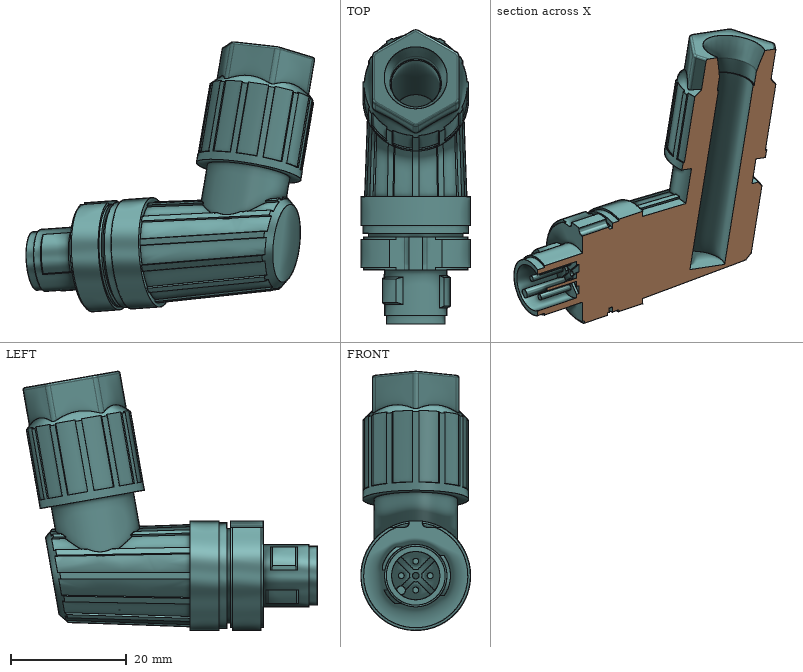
import cadquery as cq
import math


SLEEVE_R = 5.4
NOSE_R = 5.1
NOSE_LENGTH = 1.5
CUP_R = 4.15
CUP_DEPTH = 8.15

PIN_R = 0.5
PIN_COUNT = 4
PIN_CIRCLE_R = 2.5
PIN_RECESS = 1.95
KEY_R = 0.75
KEY_OFFSET = 2.55
KEY_RECESS = 0.5
CHANNEL_WIDTH = 1.0
CHANNEL_DEPTH = 0.5
HUB_R = 1.05
SOCKET_R = 0.55
SOCKET_DEPTH = 1.55

LUG_R = 6.0
LUG_BEVEL = 0.35
LUG_PLACES = [
    (-5.75, 0.95, 4.95, 3.4, 8.15),
    (-LUG_R, -4.85, -2.5, 3.25, 8.9),
    (LUG_R, -3.45, 3.45, 2.75, 8.4),
]

COLLAR_DIAMETER = 19.0
COLLAR_R = COLLAR_DIAMETER / 2
NUT_START = 9.35
NUT_END = 15.05
NUT_STEP_R = 9.0
NUT_STEP_LENGTH = 0.4
NUT_FLAT_Z = 8.35
NUT_FLAT_HALF_WIDTH = 4.6
POINTER_TOP_HALF = 1.15
POINTER_FOOT_HALF = 2.05
POINTER_SAG = 0.25
GROOVE_R = 8.2
GROOVE_END = 15.65
RING_R = 9.15
RING_END = 17.0
COLLAR_END = 22.05

BODY_START_R = 8.85
BODY_TAPER = 2.0
BODY_BACK_Y = 45.85
BODY_BACK_CHAMFER = 1.35
BODY_PANEL_DEPTH = 0.35

RIB_COUNT = 12
RIB_WIDTH = 1.1

ARM_TILT = 10.0
ARM_BASE_Y = 36.6
NECK_R = 7.2
CAP_R = 9.15
CAP_START = 13.4
CAP_SHOULDER = 13.8
CAP_RING_LENGTH = 1.5
CAP_PANEL_DEPTH = 0.25
CAP_HEIGHT = 21.05
HEX_FLATS = 15.0
HEX_CORNER_R = 1.0
HEX_TOP_FILLET = 0.4
MOUTH_R = 5.45
MOUTH_END_R = 4.45
MOUTH_DEPTH = 3.85
SEAT_DEPTH = 6.5
BORE_R = 4.2
BORE_DEPTH = 40.7

OVERLAP = 0.5


def rod(radius, start, end, x=0.0, z=0.0):
    """Cylinder parallel to Y from start to end."""
    return cq.Workplane("XZ", origin=(x, start, z)).circle(radius).extrude(start - end)


def place_on_arm(shape):
    """Move a shape built along Z onto the leaning arm axis."""
    return shape.rotate((0, 0, 0), (1, 0, 0), -ARM_TILT).translate((0, ARM_BASE_Y, 0))


def rib_blades(axis, plane, start, length):
    """Flat blades through an axis; their outer ends become the grip ribs."""
    blade = cq.Workplane(plane, origin=start).rect(2 * COLLAR_R, RIB_WIDTH).extrude(length)
    blades = blade
    for i in range(1, RIB_COUNT // 2):
        blades = blades.union(blade.rotate((0, 0, 0), axis, i * 360 / RIB_COUNT))
    return blades


def make_body():
    """Tapered body with a chamfered back face parallel to the arm axis."""
    length = BODY_BACK_Y + COLLAR_R - COLLAR_END
    start = (0, COLLAR_END, 0)
    body = cq.Workplane("XZ", origin=start).circle(BODY_START_R)
    body = body.extrude(-length, taper=BODY_TAPER)
    cutter_size = 4 * COLLAR_R
    beyond_back = (
        cq.Workplane("XY")
        .box(cutter_size, cutter_size, cutter_size, centered=(True, False, True))
        .rotate((0, 0, 0), (1, 0, 0), -ARM_TILT)
        .translate((0, BODY_BACK_Y, 0))
    )
    body = body.cut(beyond_back).faces(">Y").chamfer(BODY_BACK_CHAMFER)

    core = cq.Workplane("XZ", origin=start).circle(BODY_START_R - BODY_PANEL_DEPTH)
    core = core.extrude(-length, taper=BODY_TAPER)
    ribs = rib_blades((0, 1, 0), "XZ", start, -length)
    return body.intersect(core.union(ribs))


def make_nut():
    """Locking nut with stepped ends, a top flat and a raised pointer on it."""
    nut = rod(NUT_STEP_R, NUT_START, NUT_END)
    nut = nut.union(rod(COLLAR_R, NUT_START + NUT_STEP_LENGTH, NUT_END - NUT_STEP_LENGTH))
    nut_length = NUT_END - NUT_START
    above_flat = (
        cq.Workplane("XY")
        .box(2 * NUT_FLAT_HALF_WIDTH, nut_length, COLLAR_R, centered=(True, False, False))
        .translate((0, NUT_START, NUT_FLAT_Z))
    )
    pointer_z = math.sqrt(COLLAR_R**2 - POINTER_TOP_HALF**2)
    side_x = (POINTER_TOP_HALF + POINTER_FOOT_HALF) / 2 - POINTER_SAG
    side_z = (pointer_z + NUT_FLAT_Z) / 2 - POINTER_SAG
    base_z = NUT_FLAT_Z - OVERLAP
    pointer = (
        cq.Workplane("XZ", origin=(0, NUT_START, 0))
        .moveTo(-POINTER_FOOT_HALF, base_z)
        .lineTo(-POINTER_FOOT_HALF, NUT_FLAT_Z)
        .threePointArc((-side_x, side_z), (-POINTER_TOP_HALF, pointer_z))
        .threePointArc((0, COLLAR_R), (POINTER_TOP_HALF, pointer_z))
        .threePointArc((side_x, side_z), (POINTER_FOOT_HALF, NUT_FLAT_Z))
        .lineTo(POINTER_FOOT_HALF, base_z)
        .close()
        .extrude(-nut_length)
    )
    return nut.cut(above_flat).union(pointer)


def make_lug(reach, bottom, top, start, end):
    """Bayonet lug: a band of a bevelled disc, cut off at a reach along X and level in Z."""
    disc = (
        cq.Workplane("XY")
        .polyline(
            [
                (0, start),
                (SLEEVE_R, start),
                (LUG_R, start + LUG_BEVEL),
                (LUG_R, end - LUG_BEVEL),
                (SLEEVE_R, end),
                (0, end),
            ]
        )
        .close()
        .revolve(360, (0, 0, 0), (0, 1, 0))
    )
    band = (
        cq.Workplane("XY")
        .box(abs(reach), end - start, top - bottom, centered=(True, False, False))
        .translate((reach / 2, start, bottom))
    )
    return disc.intersect(band)


def make_insulator_cuts():
    """Diagonal channels, central relief and socket hole in the cup floor."""
    floor_end = CUP_DEPTH + CHANNEL_DEPTH
    cuts = rod(HUB_R, CUP_DEPTH, floor_end)
    for angle in (45, -45):
        channel = cq.Workplane("XZ", origin=(0, CUP_DEPTH, 0)).rect(2 * CUP_R, CHANNEL_WIDTH)
        channel = channel.extrude(-CHANNEL_DEPTH).rotate((0, 0, 0), (0, 1, 0), angle)
        cuts = cuts.union(channel.intersect(rod(CUP_R, CUP_DEPTH, floor_end)))
    return cuts.union(rod(SOCKET_R, CUP_DEPTH, floor_end + SOCKET_DEPTH))


def make_plug():
    """Sleeve, nut, ring and collar with the pin cup in the mating end."""
    plug = rod(NOSE_R, 0, NOSE_LENGTH)
    plug = plug.union(rod(SLEEVE_R, NOSE_LENGTH, NUT_END))
    plug = plug.union(make_nut())
    plug = plug.union(rod(GROOVE_R, NUT_START + NUT_STEP_LENGTH, RING_END))
    plug = plug.union(rod(RING_R, GROOVE_END, RING_END))
    plug = plug.union(rod(COLLAR_R, RING_END, COLLAR_END))
    for lug_place in LUG_PLACES:
        plug = plug.union(make_lug(*lug_place))

    plug = plug.cut(rod(CUP_R, 0, CUP_DEPTH)).cut(make_insulator_cuts())
    key = rod(KEY_R, KEY_RECESS, CUP_DEPTH + CHANNEL_DEPTH, -KEY_OFFSET, -KEY_OFFSET)
    plug = plug.union(key)
    for i in range(PIN_COUNT):
        angle = math.radians(i * 360 / PIN_COUNT)
        pin_x = PIN_CIRCLE_R * math.cos(angle)
        pin_z = PIN_CIRCLE_R * math.sin(angle)
        pin = rod(PIN_R, PIN_RECESS, CUP_DEPTH + CHANNEL_DEPTH, pin_x, pin_z)
        plug = plug.union(pin)
    return plug


def make_cap():
    """Cable nut: ribbed barrel with a conical shoulder under a hexagonal head."""
    shoulder_end_r = HEX_FLATS / 2 - OVERLAP
    shoulder_height = CAP_R - shoulder_end_r
    full_length = CAP_SHOULDER + shoulder_height
    start = (0, 0, CAP_START)
    cap = cq.Workplane("XY", origin=start).circle(CAP_R).extrude(full_length)
    cap = cap.faces(">Z").chamfer(shoulder_height)
    core = cq.Workplane("XY", origin=start).circle(CAP_R - CAP_PANEL_DEPTH).extrude(full_length)
    ring = cq.Workplane("XY", origin=start).circle(CAP_R).extrude(CAP_RING_LENGTH)
    ribs = rib_blades((0, 0, 1), "XY", start, full_length)
    cap = cap.intersect(core.union(ring).union(ribs))

    across_corners = HEX_FLATS / math.cos(math.radians(30))
    head = (
        cq.Workplane("XY", origin=start)
        .transformed(rotate=(0, 0, 90))
        .polygon(6, across_corners)
        .extrude(CAP_HEIGHT)
        .edges("|Z")
        .fillet(HEX_CORNER_R)
        .faces(">Z")
        .edges()
        .fillet(HEX_TOP_FILLET)
    )
    return cap.union(head)


def make_arm():
    """Neck and cable nut standing on the plug axis."""
    neck = cq.Workplane("XY").circle(NECK_R).extrude(CAP_START + OVERLAP)
    return place_on_arm(neck.union(make_cap()))


def make_cable_bore():
    """Conical mouth, seat and deep cable bore, entering from the head."""
    top = CAP_START + CAP_HEIGHT
    profile = (
        cq.Workplane("XZ")
        .moveTo(0, top)
        .lineTo(MOUTH_R, top)
        .lineTo(MOUTH_END_R, top - MOUTH_DEPTH)
        .lineTo(MOUTH_END_R, top - SEAT_DEPTH)
        .lineTo(BORE_R, top - SEAT_DEPTH)
        .lineTo(BORE_R, top - BORE_DEPTH)
        .lineTo(0, top - BORE_DEPTH)
        .close()
    )
    return place_on_arm(profile.revolve(360, (0, 0, 0), (0, 1, 0)))


result = make_plug().union(make_body()).union(make_arm()).cut(make_cable_bore())